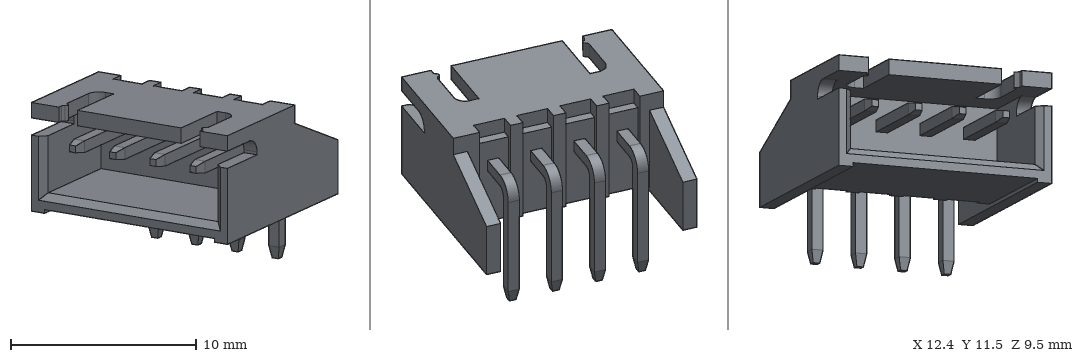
import cadquery as cq
import math


WIDTH = 12.4
HEIGHT = 6.11
ARM_END = 11.5
BODY_DEPTH = 6.99
WALL = 0.83
ROOF = 0.87
FOOT_HEIGHT = 0.21
FLOOR_TOP = 1.07
ARM_REAR_HEIGHT = 3.04
ARM_FRONT_HEIGHT = 5.08

REAR_FACE = 6.73
REAR_WALL = 0.87
MOUTH_CHAMFER = 0.38

SIDE_SLOT_DEPTH = 3.08
SIDE_SLOT_HEIGHT = 0.97
SIDE_SLOT_RADIUS = 0.8

ROOF_SLOT_INNER = 3.27
ROOF_SLOT_OUTER = 4.46
ROOF_SLOT_DEPTH = 3.75
ROOF_SLOT_RADIUS = 0.67
BUMP_CENTER = 0.6
BUMP_LENGTH = 0.65
BUMP_HEIGHT = 0.22

PIN_COUNT = 4
PIN_PITCH = 2.54
PIN_ROW_CENTER = -0.07
PIN_SIZE = 0.66
PIN_TIP_SIZE = 0.38
PIN_TAPER = 0.71
PIN_FRONT = 0.48
PIN_REAR = 9.52
PIN_AXIS_Z = 3.73
PIN_BEND_OUTER = 1.12
PIN_BOTTOM = -3.39

NOTCH_WIDTH = 1.81
NOTCH_FRONT = 6.19

ROOF_UNDERSIDE = HEIGHT - ROOF
CAVITY_WIDTH = WIDTH - 2 * WALL
CAVITY_DEPTH = REAR_FACE - REAR_WALL
PIN_POSITIONS = [PIN_ROW_CENTER + (i - (PIN_COUNT - 1) / 2) * PIN_PITCH for i in range(PIN_COUNT)]


def block(x_min, x_max, y_min, y_max, z_min, z_max):
    size = (x_max - x_min, y_max - y_min, z_max - z_min)
    return cq.Workplane("XY").box(*size, centered=False).translate((x_min, y_min, z_min))


def centered_block(x_center, width, y_min, y_max, z_min, z_max):
    return block(x_center - width / 2, x_center + width / 2, y_min, y_max, z_min, z_max)


def outer_housing():
    """Side profile over the full width, with the space between the arms and feet removed."""
    profile = [
        (0, 0),
        (ARM_END, 0),
        (ARM_END, ARM_REAR_HEIGHT),
        (BODY_DEPTH, ARM_FRONT_HEIGHT),
        (BODY_DEPTH, HEIGHT),
        (0, HEIGHT),
    ]
    housing = cq.Workplane("YZ").polyline(profile).close().extrude(WIDTH / 2, both=True)
    between_arms = centered_block(0, CAVITY_WIDTH, BODY_DEPTH, ARM_END, 0, HEIGHT)
    between_feet = centered_block(0, CAVITY_WIDTH, 0, ARM_END, 0, FOOT_HEIGHT)
    return housing.cut(between_arms).cut(between_feet)


def cavity():
    """Rectangular pocket open to the front."""
    return centered_block(0, CAVITY_WIDTH, 0, CAVITY_DEPTH, FLOOR_TOP, ROOF_UNDERSIDE)


def mouth_chamfer(slot_floor):
    """Flare of the floor and side walls at the mouth, up to the floor of the side slots."""
    return (
        cq.Workplane("XZ")
        .center(0, (FLOOR_TOP + slot_floor) / 2)
        .rect(CAVITY_WIDTH + 2 * MOUTH_CHAMFER, slot_floor - FLOOR_TOP + 2 * MOUTH_CHAMFER)
        .workplane(offset=-MOUTH_CHAMFER)
        .rect(CAVITY_WIDTH, slot_floor - FLOOR_TOP)
        .loft(ruled=True)
        .intersect(centered_block(0, WIDTH, 0, MOUTH_CHAMFER, 0, slot_floor))
    )


def side_slots(slot_floor):
    """Slot through both side walls, rounded at its upper rear corner."""
    corner = SIDE_SLOT_RADIUS * (1 - math.sqrt(0.5))
    return (
        cq.Workplane("YZ")
        .moveTo(0, slot_floor)
        .lineTo(SIDE_SLOT_DEPTH, slot_floor)
        .lineTo(SIDE_SLOT_DEPTH, ROOF_UNDERSIDE - SIDE_SLOT_RADIUS)
        .threePointArc(
            (SIDE_SLOT_DEPTH - corner, ROOF_UNDERSIDE - corner),
            (SIDE_SLOT_DEPTH - SIDE_SLOT_RADIUS, ROOF_UNDERSIDE),
        )
        .lineTo(0, ROOF_UNDERSIDE)
        .close()
        .extrude(WIDTH / 2, both=True)
    )


def roof_slot():
    """Right-hand roof slot; a rounded latch bump with hollow flanks narrows its outer edge near the mouth."""
    corner = ROOF_SLOT_RADIUS * (1 - math.sqrt(0.5))
    bump_tip = ROOF_SLOT_OUTER - BUMP_HEIGHT
    bump_middle = ROOF_SLOT_OUTER - BUMP_HEIGHT / 2
    return (
        cq.Workplane("XY", origin=(0, 0, ROOF_UNDERSIDE))
        .moveTo(ROOF_SLOT_INNER, 0)
        .lineTo(ROOF_SLOT_INNER, ROOF_SLOT_DEPTH)
        .lineTo(ROOF_SLOT_OUTER - ROOF_SLOT_RADIUS, ROOF_SLOT_DEPTH)
        .threePointArc(
            (ROOF_SLOT_OUTER - corner, ROOF_SLOT_DEPTH - corner),
            (ROOF_SLOT_OUTER, ROOF_SLOT_DEPTH - ROOF_SLOT_RADIUS),
        )
        .lineTo(ROOF_SLOT_OUTER, BUMP_CENTER + BUMP_LENGTH / 2)
        .tangentArcPoint((bump_middle, BUMP_CENTER + BUMP_LENGTH / 4), relative=False)
        .threePointArc((bump_tip, BUMP_CENTER), (bump_middle, BUMP_CENTER - BUMP_LENGTH / 4))
        .tangentArcPoint((ROOF_SLOT_OUTER, BUMP_CENTER - BUMP_LENGTH / 2), relative=False)
        .lineTo(ROOF_SLOT_OUTER, 0)
        .close()
        .extrude(ROOF)
    )


def rear_notch(x):
    """Gap between two rear teeth: deeper through the roof than down the rear wall."""
    upper = centered_block(x, NOTCH_WIDTH, NOTCH_FRONT, BODY_DEPTH, ROOF_UNDERSIDE, HEIGHT)
    lower = centered_block(x, NOTCH_WIDTH, REAR_FACE, BODY_DEPTH, 0, ROOF_UNDERSIDE)
    return upper.union(lower)


def tapered_tip(plane):
    """Pyramid-shaped pin end pointing along the normal of the given plane."""
    return (
        cq.Workplane(plane)
        .rect(PIN_SIZE, PIN_SIZE)
        .workplane(offset=PIN_TAPER)
        .rect(PIN_TIP_SIZE, PIN_TIP_SIZE)
        .loft(ruled=True)
    )


def pin(x):
    """Square pin running rearward, bent down into a leg, with both ends tapered."""
    front = PIN_FRONT + PIN_TAPER
    bottom = PIN_BOTTOM + PIN_TAPER
    top = PIN_AXIS_Z + PIN_SIZE / 2
    bend_y = PIN_REAR - PIN_BEND_OUTER
    bend_z = top - PIN_BEND_OUTER
    bend_inner = PIN_BEND_OUTER - PIN_SIZE
    diagonal = math.sqrt(0.5)
    shank = (
        cq.Workplane("YZ", origin=(x, 0, 0))
        .moveTo(front, top)
        .lineTo(bend_y, top)
        .threePointArc(
            (bend_y + PIN_BEND_OUTER * diagonal, bend_z + PIN_BEND_OUTER * diagonal),
            (PIN_REAR, bend_z),
        )
        .lineTo(PIN_REAR, bottom)
        .lineTo(PIN_REAR - PIN_SIZE, bottom)
        .lineTo(PIN_REAR - PIN_SIZE, bend_z)
        .threePointArc(
            (bend_y + bend_inner * diagonal, bend_z + bend_inner * diagonal),
            (bend_y, top - PIN_SIZE),
        )
        .lineTo(front, top - PIN_SIZE)
        .close()
        .extrude(PIN_SIZE / 2, both=True)
    )
    front_tip = tapered_tip(cq.Plane((x, front, PIN_AXIS_Z), (1, 0, 0), (0, -1, 0)))
    leg_tip = tapered_tip(cq.Plane((x, PIN_REAR - PIN_SIZE / 2, bottom), (1, 0, 0), (0, 0, -1)))
    return shank.union(front_tip).union(leg_tip)


slot_floor = ROOF_UNDERSIDE - SIDE_SLOT_HEIGHT
right_roof_slot = roof_slot()

result = outer_housing().cut(cavity()).cut(mouth_chamfer(slot_floor)).cut(side_slots(slot_floor))
result = result.cut(right_roof_slot).cut(right_roof_slot.mirror("YZ"))
for position in PIN_POSITIONS:
    result = result.cut(rear_notch(position))
for position in PIN_POSITIONS:
    result = result.union(pin(position))